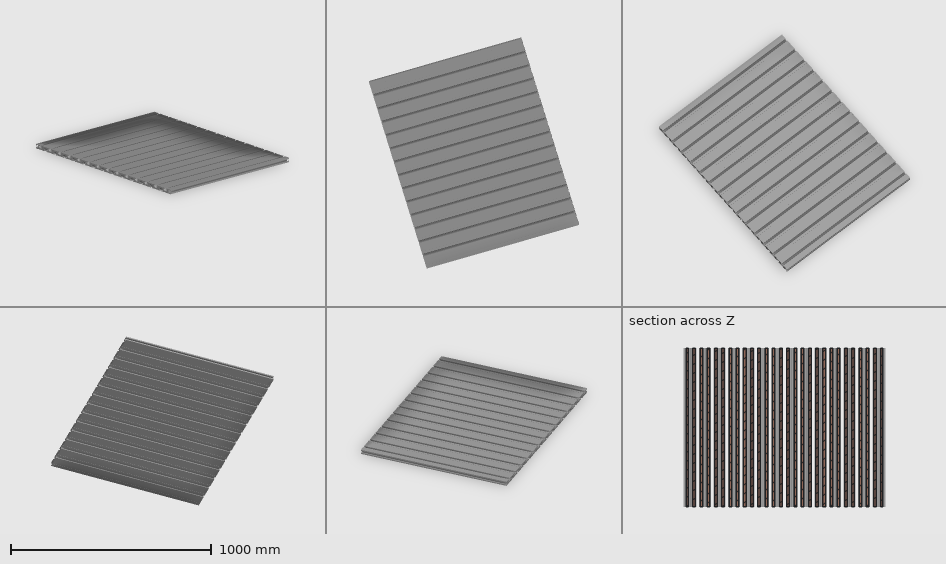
import cadquery as cq

LENGTH_X = 1008.94
DEPTH_Y = 792.74
HEIGHT = 23.06

UPPER_SLOTS = 14
LOWER_SLOTS = UPPER_SLOTS - 1
PITCH = LENGTH_X / UPPER_SLOTS
END_X = LENGTH_X / 2

MOUTH_HALF_WIDTH = 6.47
LIP_THICKNESS = 4.3
CAVITY_HALF_WIDTH = 15.12
FLOOR_HALF_WIDTH = 5.76
FLANK_SLOPE = 0.76
GROOVE_HALF_WIDTH = 1.3

LIP_REACH = PITCH / 4
WEB_RECESS = 0.7

FLANK_RISE = FLANK_SLOPE * (CAVITY_HALF_WIDTH - FLOOR_HALF_WIDTH)
FLOOR_DEPTH = (HEIGHT + FLANK_RISE) / 2
FLANK_TOP_DEPTH = (HEIGHT - FLANK_RISE) / 2

CHANNEL_DEPTH = 14.3
HOOK_WIDTH = 4.3
HOOK_THICKNESS = 6.8
CHANNEL_LIP_THICKNESS = 3.7


def prism(points):
    """Closed XZ outline extruded over the full Y depth of the plate."""
    return cq.Workplane("XZ").polyline(points).close().extrude(DEPTH_Y / 2, both=True).val()


def slot_cutter(center_x, side):
    """T-slot open to the upper (side = 1) or lower (side = -1) face."""
    right_half = [
        (MOUTH_HALF_WIDTH, 0),
        (MOUTH_HALF_WIDTH, LIP_THICKNESS),
        (CAVITY_HALF_WIDTH, LIP_THICKNESS),
        (CAVITY_HALF_WIDTH, FLANK_TOP_DEPTH),
        (FLOOR_HALF_WIDTH, FLOOR_DEPTH),
        (GROOVE_HALF_WIDTH, FLOOR_DEPTH),
    ]
    groove_apex = (0, FLOOR_DEPTH + GROOVE_HALF_WIDTH)
    left_half = [(-offset, depth) for offset, depth in reversed(right_half)]
    outline = right_half + [groove_apex] + left_half
    return prism([(center_x + offset, side * (HEIGHT / 2 - depth)) for offset, depth in outline])


def recess_cutter(start_x, end_x, side):
    """Shallow recess over the web between two raised lips."""
    outer = side * HEIGHT / 2
    inner = side * (HEIGHT / 2 - WEB_RECESS)
    return prism([(start_x, outer), (end_x, outer), (end_x, inner), (start_x, inner)])


def channel_cutter(end):
    """Hooked channel open to the +X (end = 1) or -X (end = -1) side."""
    mouth_half_height = HEIGHT / 2 - HOOK_THICKNESS
    cavity_half_height = HEIGHT / 2 - CHANNEL_LIP_THICKNESS
    upper_half = [
        (0, mouth_half_height),
        (HOOK_WIDTH, mouth_half_height),
        (HOOK_WIDTH, cavity_half_height),
        (CHANNEL_DEPTH, cavity_half_height),
    ]
    lower_half = [(inset, -z) for inset, z in reversed(upper_half)]
    return prism([(end * (END_X - inset), z) for inset, z in upper_half + lower_half])


def slot_centers(count):
    """X positions of a centred row of slots, from left to right."""
    return [(index - (count - 1) / 2) * PITCH for index in range(count)]


def row_cutters(count, side):
    """Slots of one face with the recesses between neighbouring slots."""
    centers = slot_centers(count)
    slots = [slot_cutter(x, side) for x in centers]
    recesses = [
        recess_cutter(left + LIP_REACH, right - LIP_REACH, side)
        for left, right in zip(centers, centers[1:])
    ]
    return slots + recesses


def lower_end_recesses():
    """Recesses between the outermost lower slots and the lips at the X ends."""
    outer_slot = slot_centers(LOWER_SLOTS)[-1]
    start = outer_slot + LIP_REACH
    end = END_X - LIP_REACH
    return [recess_cutter(start, end, -1), recess_cutter(-end, -start, -1)]


plate = cq.Workplane("XY").box(LENGTH_X, DEPTH_Y, HEIGHT).val()
cutters = row_cutters(UPPER_SLOTS, 1) + row_cutters(LOWER_SLOTS, -1) + lower_end_recesses()
cutters += [channel_cutter(1), channel_cutter(-1)]
result = cq.Workplane(plate.cut(*cutters))